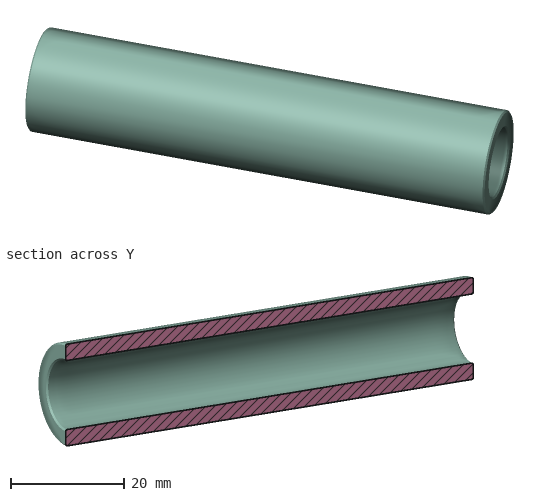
import cadquery as cq

length = 84.4
outer_diameter = 18.7
bore_diameter = 12.6
edge_chamfer = 0.295

tube = (
    cq.Workplane("YZ", origin=(-length / 2, 0, 0))
    .circle(outer_diameter / 2)
    .circle(bore_diameter / 2)
    .extrude(length)
)

result = tube.faces("<X or >X").edges().chamfer(edge_chamfer)